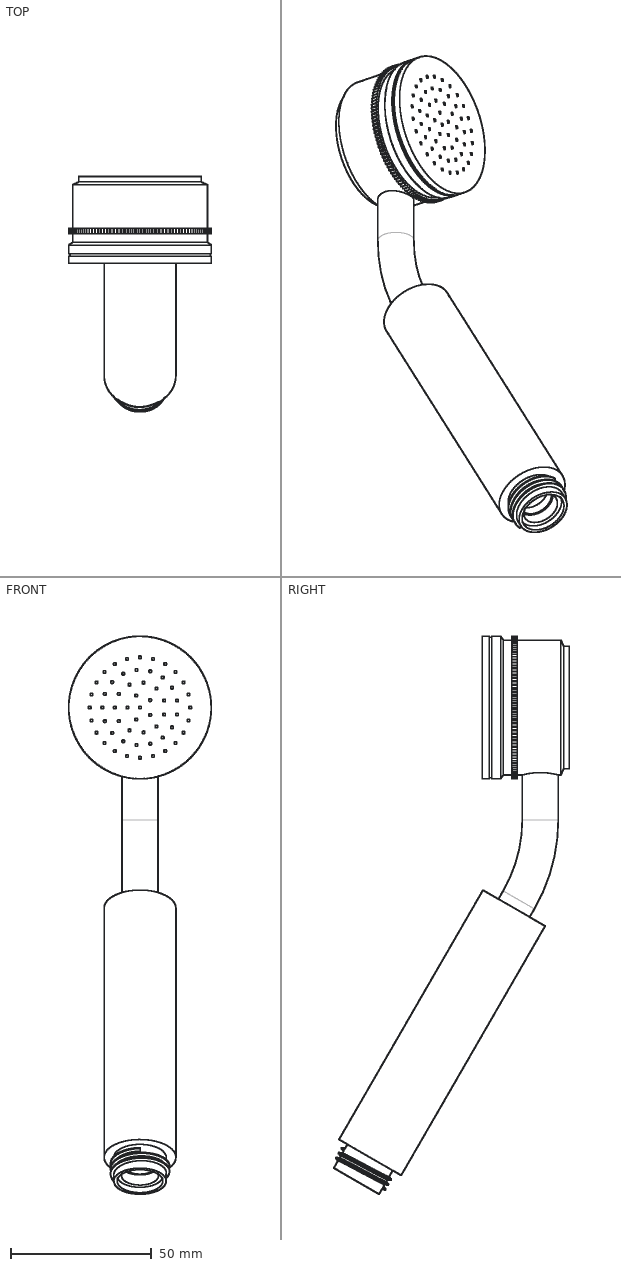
import cadquery as cq
import math

face_radius = 25.4
body_radius = 24.0
back_radius = 21.8
head_depth = 31.0
back_lip = 2.0
back_chamfer = 1.0
front_band = 2.5
face_groove_width = 0.8
face_groove_depth = 0.4
rear_band_end = 6.5
band_slope = 1.0
knurl_start = 10.5
knurl_width = 2.0
knurl_depth = 0.5
knurl_teeth = 120

hole_diameter = 1.0
hole_depth = 2.0
outer_ring_radius = 17.9
holes_per_ring = [5, 11, 17, 24]

neck_diameter = 12.9
neck_y = 20.6
straight_drop = 39.9
bend_radius = 57.0
tilt = 30
neck_tail = 3.4

handle_diameter = 25.5
handle_length = 102.4
stub_radius = 9.3
stub_length = 9.7
thread_radius = 10.5
thread_pitch = 2.0
thread_turns = 2.5
thread_start = 2.2
thread_root_width = 1.4
thread_crest_width = 0.4
thread_overlap = 0.4

bore_steps = [(8.1, 2.2), (6.5, 6.3), (6.0, stub_length)]

tilt_rad = math.radians(tilt)
handle_direction = cq.Vector(0, -math.sin(tilt_rad), -math.cos(tilt_rad))
bend_end = cq.Vector(
    0,
    neck_y - bend_radius * (1 - math.cos(tilt_rad)),
    -straight_drop - bend_radius * math.sin(tilt_rad),
)
handle_start = bend_end + handle_direction * neck_tail
handle_end = handle_start + handle_direction * handle_length


def plane_across_handle(origin):
    """Plane square to the handle axis, with its normal pointing to the hose end."""
    return cq.Plane(origin=origin, xDir=(1, 0, 0), normal=handle_direction)


def make_head():
    """Turned body of the head, revolved about the Y axis."""
    groove_end = front_band + face_groove_width
    back_chamfer_start = head_depth - back_lip - back_chamfer
    profile = [
        (0, 0),
        (face_radius, 0),
        (face_radius, front_band),
        (face_radius - face_groove_depth, front_band),
        (face_radius - face_groove_depth, groove_end),
        (face_radius, groove_end),
        (face_radius, rear_band_end),
        (body_radius, rear_band_end + band_slope),
        (body_radius, back_chamfer_start),
        (back_radius, head_depth - back_lip),
        (back_radius, head_depth),
        (0, head_depth),
    ]
    return cq.Workplane("XY").polyline(profile).close().revolve(360, (0, 0, 0), (0, 1, 0))


def make_knurled_ring():
    """Ring of pointed teeth around the body, cut parallel to the head axis."""
    outline = []
    for index in range(2 * knurl_teeth):
        radius = face_radius - knurl_depth * (index % 2)
        angle = math.pi * index / knurl_teeth
        outline.append((radius * math.cos(angle), radius * math.sin(angle)))
    ring_face = cq.Workplane("XZ", origin=(0, knurl_start, 0))
    return ring_face.polyline(outline).close().extrude(-knurl_width)


def make_spray_holes():
    """Blind holes in the spray face; each ring starts at the -X side."""
    ring_pitch = outer_ring_radius / len(holes_per_ring)
    centres = [(0, 0)]
    for ring, count in enumerate(holes_per_ring, start=1):
        for index in range(count):
            angle = math.pi + 2 * math.pi * index / count
            radius = ring * ring_pitch
            centres.append((radius * math.cos(angle), radius * math.sin(angle)))
    return cq.Workplane("XZ").pushPoints(centres).circle(hole_diameter / 2).extrude(-hole_depth)


def make_neck():
    """Round bar swept from the head axis to the top of the handle."""
    half_tilt = tilt_rad / 2
    bend_middle = (
        neck_y - bend_radius * (1 - math.cos(half_tilt)),
        -straight_drop - bend_radius * math.sin(half_tilt),
    )
    path = (
        cq.Workplane("YZ")
        .moveTo(neck_y, 0)
        .lineTo(neck_y, -straight_drop)
        .threePointArc(bend_middle, (bend_end.y, bend_end.z))
        .lineTo(handle_start.y, handle_start.z)
    )
    return cq.Workplane("XY", origin=(0, neck_y, 0)).circle(neck_diameter / 2).sweep(path)


def make_handle():
    """Plain grip with the smaller hose connection at its end."""
    grip = cq.Workplane(plane_across_handle(handle_start)).circle(handle_diameter / 2).extrude(handle_length)
    stub = cq.Workplane(plane_across_handle(handle_end)).circle(stub_radius).extrude(stub_length)
    return grip.union(stub)


def make_thread():
    """Helical ridge on the hose connection, built along Z and then moved to the handle end."""
    root = stub_radius - thread_overlap
    helix = cq.Wire.makeHelix(thread_pitch, thread_pitch * thread_turns, root)
    ridge = (
        cq.Workplane("XZ")
        .polyline([
            (root, -thread_root_width / 2),
            (thread_radius, -thread_crest_width / 2),
            (thread_radius, thread_crest_width / 2),
            (root, thread_root_width / 2),
        ])
        .close()
        .sweep(cq.Workplane(obj=helix), isFrenet=True)
    )
    base = plane_across_handle(handle_end + handle_direction * thread_start)
    seam_on_front = ridge.rotate((0, 0, 0), (0, 0, 1), 90)
    return seam_on_front.val().moved(cq.Location(base))


def make_bore():
    """Blind water passage that narrows in steps, cut into the hose connection."""
    mouth = cq.Workplane(plane_across_handle(handle_end + handle_direction * stub_length))
    passage = cq.Workplane()
    for radius, depth in bore_steps:
        passage = passage.add(mouth.circle(radius).extrude(-depth))
    return passage.combine()


head = make_head().union(make_knurled_ring()).cut(make_spray_holes())
result = head.union(make_neck()).union(make_handle()).union(make_thread()).cut(make_bore())